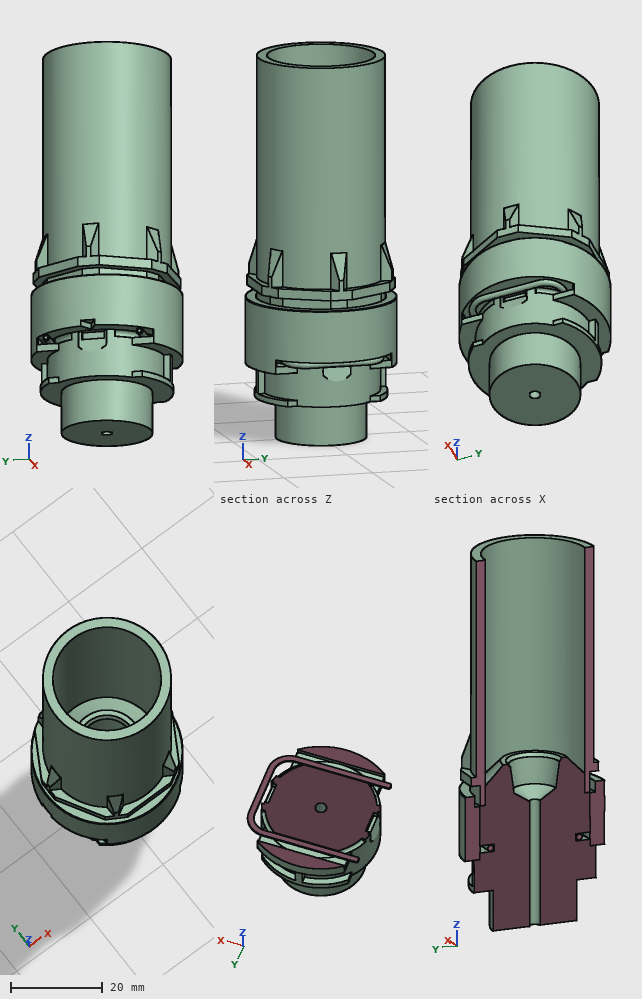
import cadquery as cq
import math

TOTAL_HEIGHT = 84.7

TUBE_RADIUS = 14.0
TUBE_BORE_RADIUS = 11.8
NECK_FLAT_DISTANCE = 13.05
NECK_CORNER_DISTANCE = 14.0
FLANGE_FLAT_DISTANCE = 15.1
FLANGE_CORNER_DISTANCE = 16.0
NECK_BOTTOM = 28.8
FLANGE_BOTTOM = 33.45
FLANGE_TOP = 35.6
GUSSET_SHOULDER = 37.9
GUSSET_TOP = 43.5
GUSSET_ROOT_WIDTH = 3.55
GUSSET_EDGE_WIDTH = 1.0
SIDES = 6

COLLAR_RADIUS = 16.5
COLLAR_BOTTOM = 19.7
COLLAR_TOP = 31.25
COLLAR_EDGE_CHAMFER = 0.2
NECK_BORE_RADIUS = 14.2
TAB_HALF_WIDTH = 10.0
TAB_BOTTOM = 16.6
NOTCH_WIDTH = 3.2
NOTCH_DEPTH = 3.0
NOTCH_HEIGHT = 1.3

BODY_RADIUS = 13.0
BODY_BOTTOM = 9.2
OUTLET_RADIUS = 9.9
LEDGE_RADIUS = 14.5
LEDGE_TOP = 10.5
RIB_WIDTH = 1.6
SPIGOT_HEIGHT = 4.6
NOZZLE_TIP_RADIUS = 7.5
NOZZLE_HEIGHT = 4.2
THROAT_TOP_RADIUS = 6.35
THROAT_CHAMFER_RADIUS = 5.8
THROAT_BOTTOM_RADIUS = 4.9
THROAT_CHAMFER_DEPTH = 0.85
THROAT_DEPTH = 6.8
FUNNEL_DEPTH = 2.4
OUTLET_HOLE_RADIUS = 1.2
RECESS_WIDTH = 6.3
RECESS_FACE = 12.1
RECESS_RAMP_BOTTOM = 14.8
RECESS_RAMP_TOP = 17.95
POCKET_WIDTH = 5.1
POCKET_DEPTH = 0.85

WIRE_RADIUS = 0.72
CLIP_LEG_OFFSET = 10.5
CLIP_BACK_OFFSET = 13.7
CLIP_LEG_END = -12.4
CLIP_TIP_CHAMFER = 0.25
CLIP_BEND_RADIUS = 4.2
SLOT_HEIGHT = 1.5
SLOT_INNER_OFFSET = 9.7
SLOT_OUTER_OFFSET = 12.9
GROOVE_END_OFFSET = 4.8

SLOT_TOP = COLLAR_BOTTOM
SLOT_BOTTOM = SLOT_TOP - SLOT_HEIGHT
CLIP_HEIGHT = SLOT_TOP - SLOT_HEIGHT / 2


def cylinder(radius, bottom, top):
    return cq.Workplane("XY").workplane(offset=bottom).circle(radius).extrude(top - bottom)


def block(x_range, y_range, z_range):
    """Axis-aligned box given by its (low, high) pair on each axis."""
    sizes = [high - low for low, high in (x_range, y_range, z_range)]
    corner = (x_range[0], y_range[0], z_range[0])
    return cq.Workplane("XY").box(*sizes, centered=False).translate(corner)


def cut_corner_hexagon(flat_distance, corner_distance, bottom, top):
    """Hexagonal plate with corners on the X axis, each corner cut off square."""
    cut_half_width = 2 * flat_distance - math.sqrt(3) * corner_distance
    half_angle = math.degrees(math.atan2(cut_half_width, corner_distance))
    reach = math.hypot(cut_half_width, corner_distance)
    points = []
    for side in range(SIDES):
        for turn in (-half_angle, half_angle):
            angle = math.radians(side * 360 / SIDES + turn)
            points.append((reach * math.cos(angle), reach * math.sin(angle)))
    return cq.Workplane("XY").workplane(offset=bottom).polyline(points).close().extrude(top - bottom)


def gusset(angle):
    """Wedge on the flange that narrows outward and slopes up to the tube."""
    root = (TUBE_RADIUS + TUBE_BORE_RADIUS) / 2
    face = math.sqrt(TUBE_RADIUS**2 - (GUSSET_ROOT_WIDTH / 2) ** 2)
    edge = FLANGE_CORNER_DISTANCE
    plan = (
        cq.Workplane("XY")
        .workplane(offset=FLANGE_TOP)
        .moveTo(root, -GUSSET_ROOT_WIDTH / 2)
        .lineTo(face, -GUSSET_ROOT_WIDTH / 2)
        .lineTo(edge, -GUSSET_EDGE_WIDTH / 2)
        .lineTo(edge, GUSSET_EDGE_WIDTH / 2)
        .lineTo(face, GUSSET_ROOT_WIDTH / 2)
        .lineTo(root, GUSSET_ROOT_WIDTH / 2)
        .close()
        .extrude(GUSSET_TOP - FLANGE_TOP)
    )
    side = (
        cq.Workplane("XZ")
        .polyline(
            [
                (root, FLANGE_TOP),
                (edge, FLANGE_TOP),
                (edge, GUSSET_SHOULDER),
                (TUBE_RADIUS, GUSSET_TOP),
                (root, GUSSET_TOP),
            ]
        )
        .close()
        .extrude(GUSSET_ROOT_WIDTH, both=True)
    )
    return plan.intersect(side).rotate((0, 0, 0), (0, 0, 1), angle)


def make_tube():
    neck = cut_corner_hexagon(NECK_FLAT_DISTANCE, NECK_CORNER_DISTANCE, NECK_BOTTOM, FLANGE_BOTTOM)
    flange = cut_corner_hexagon(FLANGE_FLAT_DISTANCE, FLANGE_CORNER_DISTANCE, FLANGE_BOTTOM, FLANGE_TOP)
    tube = cylinder(TUBE_RADIUS, FLANGE_TOP, TOTAL_HEIGHT).union(flange).union(neck)
    for side in range(SIDES):
        tube = tube.union(gusset(side * 360 / SIDES))
    return tube.cut(cylinder(TUBE_BORE_RADIUS, NECK_BOTTOM, TOTAL_HEIGHT))


def index_notch():
    """V-shaped mark in the lower rim on the -X side."""
    return (
        cq.Workplane("XY")
        .workplane(offset=COLLAR_BOTTOM)
        .polyline(
            [
                (-COLLAR_RADIUS, -NOTCH_WIDTH / 2),
                (-COLLAR_RADIUS + NOTCH_DEPTH, 0),
                (-COLLAR_RADIUS, NOTCH_WIDTH / 2),
            ]
        )
        .close()
        .extrude(NOTCH_HEIGHT)
    )


def make_collar():
    collar = cylinder(COLLAR_RADIUS, TAB_BOTTOM, COLLAR_TOP)
    collar = collar.faces(">Z").edges().chamfer(COLLAR_EDGE_CHAMFER)
    collar = collar.cut(cylinder(BODY_RADIUS, TAB_BOTTOM, NECK_BOTTOM))
    collar = collar.cut(cylinder(NECK_BORE_RADIUS, NECK_BOTTOM, COLLAR_TOP))
    full_width = (-COLLAR_RADIUS, COLLAR_RADIUS)
    for gap in ((-COLLAR_RADIUS, -TAB_HALF_WIDTH), (TAB_HALF_WIDTH, COLLAR_RADIUS)):
        collar = collar.cut(block(gap, full_width, (TAB_BOTTOM, COLLAR_BOTTOM)))
    clip_slot = block(full_width, (-SLOT_OUTER_OFFSET, SLOT_OUTER_OFFSET), (SLOT_BOTTOM, SLOT_TOP))
    return collar.cut(clip_slot).cut(index_notch())


def body_core():
    """Turned shape: outlet, main cylinder, spigot in the tube and conical nozzle with its funnel."""
    cone_base = NECK_BOTTOM + SPIGOT_HEIGHT
    tip = cone_base + NOZZLE_HEIGHT
    throat_bottom = tip - THROAT_DEPTH
    profile = [
        (OUTLET_HOLE_RADIUS, 0),
        (OUTLET_RADIUS, 0),
        (OUTLET_RADIUS, BODY_BOTTOM),
        (BODY_RADIUS, BODY_BOTTOM),
        (BODY_RADIUS, NECK_BOTTOM),
        (TUBE_BORE_RADIUS, NECK_BOTTOM),
        (TUBE_BORE_RADIUS, cone_base),
        (NOZZLE_TIP_RADIUS, tip),
        (THROAT_TOP_RADIUS, tip),
        (THROAT_CHAMFER_RADIUS, tip - THROAT_CHAMFER_DEPTH),
        (THROAT_BOTTOM_RADIUS, throat_bottom),
        (OUTLET_HOLE_RADIUS, throat_bottom - FUNNEL_DEPTH),
    ]
    return cq.Workplane("XZ").polyline(profile).close().revolve(360, (0, 0, 0), (0, 1, 0))


def ledges_and_ribs():
    """Ledges on the -Y and +Y sides, each with a rib rising to the collar tab."""
    full_depth = (-LEDGE_RADIUS, LEDGE_RADIUS)
    ledges = block((-TAB_HALF_WIDTH, TAB_HALF_WIDTH), full_depth, (BODY_BOTTOM, LEDGE_TOP))
    ribs = block((-RIB_WIDTH / 2, RIB_WIDTH / 2), full_depth, (LEDGE_TOP, TAB_BOTTOM))
    core = cylinder(OUTLET_RADIUS, BODY_BOTTOM, TAB_BOTTOM)
    outside = cylinder(LEDGE_RADIUS, BODY_BOTTOM, TAB_BOTTOM).cut(core)
    return ledges.union(ribs).intersect(outside)


def side_recess():
    """Ramped recess on the +X side with a narrower pocket above the ramp."""
    ramp = (
        cq.Workplane("XZ")
        .polyline(
            [
                (BODY_RADIUS, RECESS_RAMP_BOTTOM),
                (RECESS_FACE, RECESS_RAMP_TOP),
                (RECESS_FACE, COLLAR_BOTTOM),
                (BODY_RADIUS, COLLAR_BOTTOM),
            ]
        )
        .close()
        .extrude(RECESS_WIDTH / 2, both=True)
    )
    pocket = block(
        (RECESS_FACE - POCKET_DEPTH, BODY_RADIUS),
        (-POCKET_WIDTH / 2, POCKET_WIDTH / 2),
        (RECESS_RAMP_TOP, COLLAR_BOTTOM),
    )
    return ramp.union(pocket)


def clip_groove():
    """Half-round groove around the body, stopped short of the side recesses."""
    ring = (
        cq.Workplane("XZ")
        .center(BODY_RADIUS, CLIP_HEIGHT)
        .circle(SLOT_HEIGHT / 2)
        .revolve(360, (-BODY_RADIUS, 0, 0), (-BODY_RADIUS, 1, 0))
    )
    reach = 2 * BODY_RADIUS
    stop = block((-reach, reach), (-GROOVE_END_OFFSET, GROOVE_END_OFFSET), (SLOT_BOTTOM, SLOT_TOP))
    return ring.cut(stop)


def make_body():
    body = body_core().union(ledges_and_ribs())
    for angle in (0, 180):
        body = body.cut(side_recess().rotate((0, 0, 0), (0, 0, 1), angle))
    for side in (-1, 1):
        slot_y = sorted((side * SLOT_INNER_OFFSET, side * BODY_RADIUS))
        body = body.cut(block((-BODY_RADIUS, BODY_RADIUS), slot_y, (SLOT_BOTTOM, SLOT_TOP)))
    return body.cut(clip_groove())


def make_clip():
    """U-shaped round wire: two legs along X joined by a cross piece on the +X side."""
    bend_x = CLIP_BACK_OFFSET - CLIP_BEND_RADIUS
    bend_y = CLIP_LEG_OFFSET - CLIP_BEND_RADIUS
    path = (
        cq.Workplane("XY")
        .workplane(offset=CLIP_HEIGHT)
        .moveTo(CLIP_LEG_END, CLIP_LEG_OFFSET)
        .lineTo(bend_x, CLIP_LEG_OFFSET)
        .tangentArcPoint((CLIP_BACK_OFFSET, bend_y), relative=False)
        .lineTo(CLIP_BACK_OFFSET, -bend_y)
        .tangentArcPoint((bend_x, -CLIP_LEG_OFFSET), relative=False)
        .lineTo(CLIP_LEG_END, -CLIP_LEG_OFFSET)
    )
    start = cq.Plane(origin=(CLIP_LEG_END, CLIP_LEG_OFFSET, CLIP_HEIGHT), xDir=(0, 1, 0), normal=(1, 0, 0))
    wire = cq.Workplane(start).circle(WIRE_RADIUS).sweep(path)
    return wire.faces("<X").edges().chamfer(CLIP_TIP_CHAMFER)


tube = make_tube()
collar = make_collar()
body = make_body()
clip = make_clip()

bodies = (tube, collar, body, clip)
result = cq.Compound.makeCompound([item.solids().val() for item in bodies])